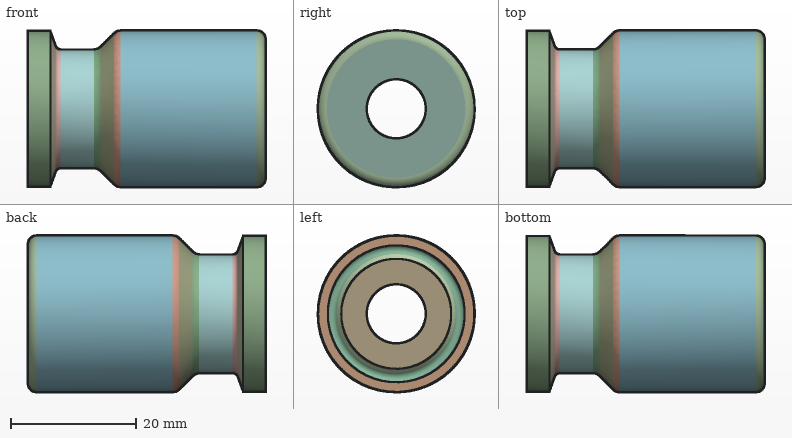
import cadquery as cq
import math

length = 38.1
body_radius = 25.15 / 2
flange_radius = 25.0 / 2
neck_radius = 19.05 / 2
bore_radius = 9.4 / 2

flange_width = 3.62
flange_back_angle = math.radians(20)
flange_root_fillet = 0.8
shoulder_start = 11.25
body_fillet = 1.5

rim_inner_radius = 21.9 / 2
face_recess = 0.8
face_radius = 8.8
groove_cone_radius = 9.52
groove_cone_angle = math.radians(35)


def revolve_about_x(profile):
    """Revolve a closed (x, radius) profile a full turn about the X axis."""
    return profile.revolve(360, (0, 0, 0), (1, 0, 0))


def edge_circle(x, radius):
    """Select the circular edge of the given radius in the plane at x."""
    reach = 0.005
    return cq.selectors.BoxSelector(
        (x - reach, -radius, -radius), (x + reach, radius, radius), boundingbox=False
    )


def make_outer_body():
    """Flange, neck, conical shoulder and cylindrical body, with rounded corners."""
    neck_start = flange_width + (flange_radius - neck_radius) * math.tan(flange_back_angle)
    shoulder_end = shoulder_start + body_radius - neck_radius
    body = revolve_about_x(
        cq.Workplane("XY")
        .moveTo(0, 0)
        .lineTo(0, flange_radius)
        .lineTo(flange_width, flange_radius)
        .lineTo(neck_start, neck_radius)
        .lineTo(shoulder_start, neck_radius)
        .lineTo(shoulder_end, body_radius)
        .lineTo(length, body_radius)
        .lineTo(length, 0)
        .close()
    )
    body = body.edges(edge_circle(neck_start, neck_radius)).fillet(flange_root_fillet)
    for x, radius in (
        (shoulder_start, neck_radius),
        (shoulder_end, body_radius),
        (length, body_radius),
    ):
        body = body.edges(edge_circle(x, radius)).fillet(body_fillet)
    return body


def make_front_recess():
    """Recess in front of the centre face, opening into the groove around it."""
    cone_end = face_recess + (groove_cone_radius - face_radius) / math.tan(groove_cone_angle)
    floor_radius = (rim_inner_radius - groove_cone_radius) / (1 + math.cos(groove_cone_angle))
    floor_centre_x = cone_end - floor_radius * math.sin(groove_cone_angle)
    floor_centre_radius = rim_inner_radius - floor_radius
    return revolve_about_x(
        cq.Workplane("XY")
        .moveTo(0, 0)
        .lineTo(face_recess, 0)
        .lineTo(face_recess, face_radius)
        .lineTo(cone_end, groove_cone_radius)
        .threePointArc(
            (floor_centre_x + floor_radius, floor_centre_radius),
            (floor_centre_x, rim_inner_radius),
        )
        .lineTo(0, rim_inner_radius)
        .close()
    )


def make_bore():
    """Plain hole through the full length."""
    return cq.Workplane("YZ").circle(bore_radius).extrude(length)


result = make_outer_body().cut(make_front_recess()).cut(make_bore())